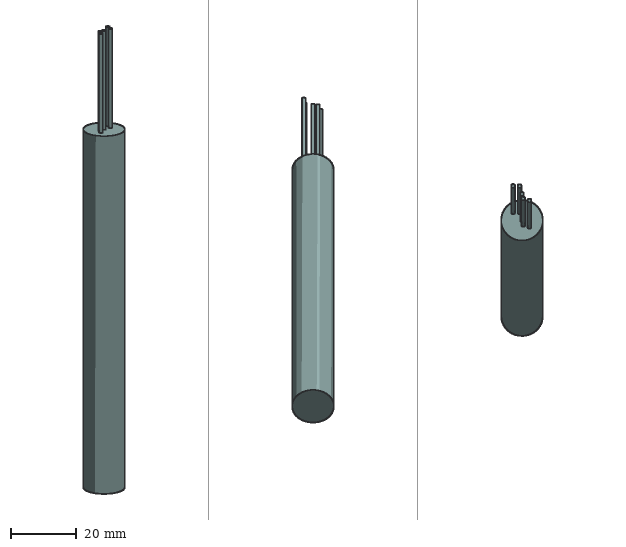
import cadquery as cq

body_diameter = 12.7
overall_length = 146.67
wire_diameter = 1.2
wire_length = 31.75
body_length = overall_length - wire_length

wire_centres = [
    (0, 3.67),
    (1.3, 2.2),
    (0, 0),
    (-0.8, -1.25),
    (0, -3.05),
]


def make_body():
    """Plain round body, from Z = 0 up to the face the wires leave from."""
    return cq.Workplane("XY").circle(body_diameter / 2).extrude(body_length)


def add_wires(body):
    """Fuse the straight wires onto the top face of the body."""
    wires = (
        cq.Workplane("XY")
        .workplane(offset=body_length)
        .pushPoints(wire_centres)
        .circle(wire_diameter / 2)
        .extrude(wire_length)
    )
    return body.union(wires)


result = add_wires(make_body())